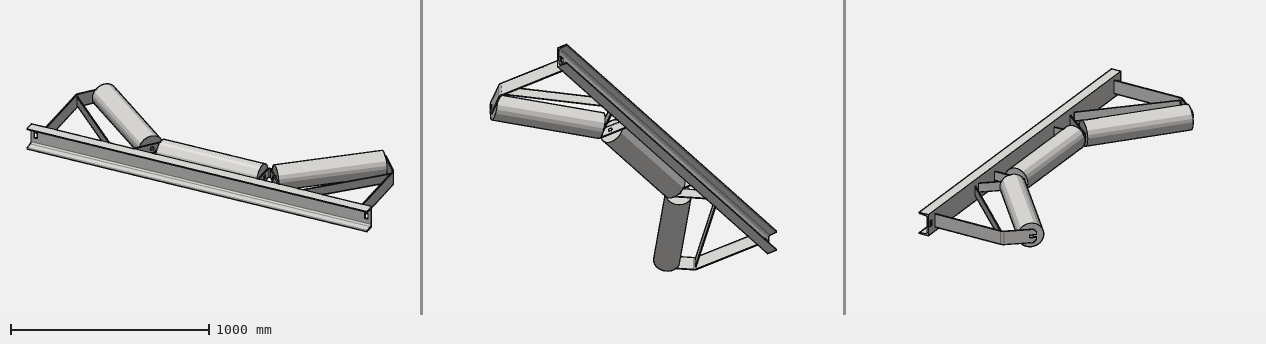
import cadquery as cq
import math


beam_length = 1900.0
beam_height = 120.0
beam_depth = 55.0
web_thickness = 8.0
flange_mid_thickness = 9.0
flange_slope = 0.08
root_radius = 9.0
tip_radius = 4.5
mount_slot_inset = 27.0
mount_slot_width = 18.0
mount_slot_height = 30.0

trough_angle = 40.0
tube_radius = 66.0
tube_length = 565.0
side_roller_x = 565.0
side_roller_y = 375.0
centre_roller_y = 175.0
shaft_diameter = 20.0
shaft_flat_width = 15.0
shaft_overhang = 4.0

bracket_gap = 8.0
bracket_thickness = 6.8
outer_bracket_width = 75.0
inner_bracket_width = 50.0
outer_leg_x = 884.0
outer_bend_radius = 27.0
outer_tip_reach = 27.0
outer_tip_chamfer = 15.0
inner_top_y = 228.0
brace_thickness = 5.0
brace_width = 50.0

plate_offset = tube_length / 2 + bracket_gap + bracket_thickness / 2
plate_far_face = plate_offset + bracket_thickness / 2

tilt = math.radians(trough_angle)
axis_x, axis_y = -math.cos(tilt), math.sin(tilt)
plate_x, plate_y = math.sin(tilt), math.cos(tilt)

left_station = (-side_roller_x, side_roller_y, -trough_angle, shaft_overhang)
right_station = (side_roller_x, side_roller_y, 180 + trough_angle, shaft_overhang)
centre_station = (0, centre_roller_y, 0, 0)
stations = [left_station, centre_station, right_station]

weld_y = beam_depth - web_thickness / 2


def on_left_roller(along, across):
    """Point given along the left roller's axis and along its end plates."""
    return (
        -side_roller_x + along * axis_x + across * plate_x,
        side_roller_y + along * axis_y + across * plate_y,
    )


def on_plate_at_x(along, x):
    """Point of a left roller's end plate at the given X."""
    start_x = on_left_roller(along, 0)[0]
    return on_left_roller(along, (x - start_x) / plate_x)


def on_plate_at_y(along, y):
    """Point of a left roller's end plate at the given Y."""
    start_y = on_left_roller(along, 0)[1]
    return on_left_roller(along, (y - start_y) / plate_y)


def offset_path(path, distance):
    """Points of an open path moved sideways, with mitred corners."""
    normals = []
    for (x0, y0), (x1, y1) in zip(path, path[1:]):
        length = math.hypot(x1 - x0, y1 - y0)
        normals.append(((y0 - y1) / length, (x1 - x0) / length))
    before = normals[:1] + normals
    after = normals + normals[-1:]
    moved = []
    for (x, y), (ax, ay), (bx, by) in zip(path, before, after):
        scale = distance / (1 + ax * bx + ay * by)
        moved.append((x + scale * (ax + bx), y + scale * (ay + by)))
    return moved


def strip(path, thickness, width):
    """Flat bar bent along a path in the XY plane."""
    one_side = offset_path(path, thickness / 2)
    other_side = offset_path(path, -thickness / 2)
    outline = one_side + other_side[::-1]
    return cq.Workplane("XY", origin=(0, 0, -width / 2)).polyline(outline).close().extrude(width)


def place(shape, station):
    """Move a shape built along X at the origin onto a roller station."""
    x, y, angle, _ = station
    return shape.rotate((0, 0, 0), (0, 0, 1), angle).translate((x, y, 0))


def channel_beam():
    """Channel with tapered flanges opening towards -Y and a mounting slot near each end."""
    half_height = beam_height / 2
    taper = flange_slope * beam_depth / 2
    tip_z = half_height - flange_mid_thickness + taper
    root_z = tip_z - flange_slope * (beam_depth - web_thickness)
    web_y = beam_depth - web_thickness
    outline = [
        (beam_depth, -half_height),
        (beam_depth, half_height),
        (0, half_height),
        (0, tip_z),
        (web_y, root_z),
        (web_y, -root_z),
        (0, -tip_z),
        (0, -half_height),
    ]
    start_plane = cq.Workplane("YZ", origin=(-beam_length / 2, 0, 0))
    beam = start_plane.polyline(outline).close().extrude(beam_length)
    for side in (-1, 1):
        beam = beam.edges(cq.NearestToPointSelector((0, web_y, side * root_z))).fillet(root_radius)
        beam = beam.edges(cq.NearestToPointSelector((0, 0, side * tip_z))).fillet(tip_radius)
    slot_x = beam_length / 2 - mount_slot_inset
    slots = (
        cq.Workplane("XZ")
        .pushPoints([(-slot_x, 0), (slot_x, 0)])
        .rect(mount_slot_width, mount_slot_height)
        .extrude(-beam_depth)
    )
    return beam.cut(slots)


def left_outer_bracket():
    """Upright leg bent over to the roller's upper end, with an open slot for the shaft."""
    bend = on_plate_at_x(plate_offset, -outer_leg_x)
    tip = on_left_roller(plate_offset, outer_tip_reach)
    bracket = strip([(-outer_leg_x, weld_y), bend, tip], bracket_thickness, outer_bracket_width)
    bend_inside = cq.NearestToPointSelector((bend[0] + bracket_thickness, bend[1], 0))
    bend_outside = cq.NearestToPointSelector((bend[0] - bracket_thickness, bend[1], 0))
    bracket = bracket.edges("|Z").edges(bend_inside).fillet(outer_bend_radius - bracket_thickness)
    bracket = bracket.edges("|Z").edges(bend_outside).fillet(outer_bend_radius)
    tip_edges = cq.selectors.ParallelDirSelector(cq.Vector(axis_x, axis_y, 0))
    bracket = bracket.edges(tip_edges).chamfer(outer_tip_chamfer)
    slot = (
        cq.Workplane("XY")
        .box(2 * bracket_thickness, outer_tip_reach, shaft_flat_width)
        .translate((-plate_offset, outer_tip_reach / 2, 0))
    )
    return bracket.cut(place(slot, left_station))


def left_brace():
    """Diagonal bar at 45 degrees from the bend of the outer bracket down to the beam."""
    bend_x, bend_y = on_plate_at_x(plate_offset, -outer_leg_x)
    foot = (bend_x + bend_y - weld_y, weld_y)
    return strip([(bend_x, bend_y), foot], brace_thickness, brace_width)


def left_inner_bracket():
    """Folded bar holding the side roller's lower end and one end of the centre roller."""
    top_y = inner_top_y - bracket_thickness / 2
    path = [
        on_plate_at_y(-plate_offset, weld_y),
        on_plate_at_y(-plate_offset, top_y),
        (-plate_offset, top_y),
        (-plate_offset, weld_y),
    ]
    return strip(path, bracket_thickness, inner_bracket_width)


def shaft(station):
    """Round bar with two flats on each end where it sits in the end plates."""
    overhang = station[3]
    total_length = 2 * plate_far_face + overhang
    end_plane = cq.Workplane("YZ", origin=(-plate_far_face - overhang, 0, 0))
    bar = end_plane.circle(shaft_diameter / 2).extrude(total_length)
    round_length = 2 * plate_far_face - 2 * bracket_thickness
    round_part = cq.Workplane("XY").box(round_length, shaft_diameter, shaft_diameter)
    flat_part = cq.Workplane("XY").box(2 * total_length, shaft_diameter, shaft_flat_width)
    return place(bar.intersect(round_part.union(flat_part)), station)


def tube(station):
    """Roller tube bored for its shaft."""
    end_plane = cq.Workplane("YZ", origin=(-tube_length / 2, 0, 0))
    ring = end_plane.circle(tube_radius).circle(shaft_diameter / 2).extrude(tube_length)
    return place(ring, station)


def welded_frame(shafts):
    """Beam with its brackets and braces, holed where the shaft ends sit."""
    frame = channel_beam()
    for part in (left_outer_bracket(), left_brace(), left_inner_bracket()):
        frame = frame.union(part).union(part.mirror("YZ"))
    for bar in shafts:
        frame = frame.cut(bar)
    return frame


shafts = [shaft(station) for station in stations]
tubes = [tube(station) for station in stations]
frame = welded_frame(shafts)

result = cq.Compound.makeCompound(
    [frame.val()] + [bar.val() for bar in shafts] + [roller.val() for roller in tubes]
)